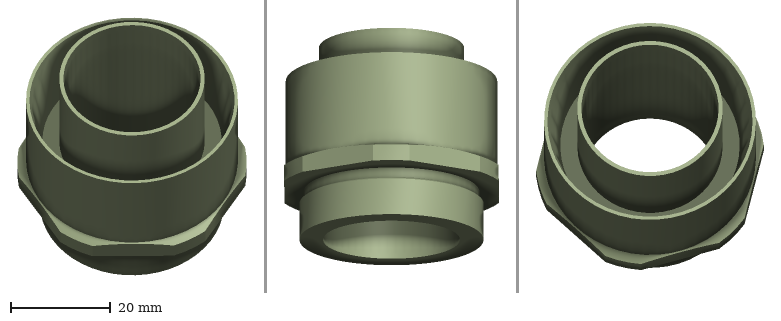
import cadquery as cq
import math

spigot_edge_z = 7.45
groove_bottom_z = 8.0
hex_bottom_z = 10.0
hex_rim_z = 13.25
hex_top_z = 14.0
cup_floor_z = 20.0
sleeve_top_z = 33.05
total_height = 40.0

bore_radius = 13.75
tube_radius = 14.6
groove_radius = 17.65
spigot_radius = 18.5
cup_floor_radius = 18.0
cup_mouth_radius = 20.55
sleeve_radius = 21.25

hex_across_flats = 43.0
hex_across_corners = hex_across_flats / math.cos(math.pi / 6)
hex_corner_radius = 23.0


def revolve_profile(points):
    """Revolve a closed outline of (radius, height) points about Z."""
    return cq.Workplane("XZ").polyline(points).close().revolve(360, (0, 0), (0, 1))


def make_body():
    """Spigot, neck groove, tapered cup and central tube as one turned body."""
    return revolve_profile([
        (bore_radius, 0),
        (spigot_radius, 0),
        (spigot_radius, spigot_edge_z),
        (groove_radius, groove_bottom_z),
        (groove_radius, hex_bottom_z),
        (sleeve_radius, hex_bottom_z),
        (sleeve_radius, sleeve_top_z),
        (cup_mouth_radius, sleeve_top_z),
        (cup_floor_radius, cup_floor_z),
        (tube_radius, cup_floor_z),
        (tube_radius, total_height),
        (bore_radius, total_height),
    ])


def make_hex_collar():
    """Hexagon with corners on X, trimmed by a cylinder and a conical top."""
    prism = (
        cq.Workplane("XY")
        .workplane(offset=hex_bottom_z)
        .polygon(6, hex_across_corners)
        .extrude(hex_top_z - hex_bottom_z)
    )
    turned_blank = revolve_profile([
        (bore_radius, hex_bottom_z),
        (hex_corner_radius, hex_bottom_z),
        (hex_corner_radius, hex_rim_z),
        (sleeve_radius, hex_top_z),
        (bore_radius, hex_top_z),
    ])
    return prism.intersect(turned_blank)


result = make_body().union(make_hex_collar())